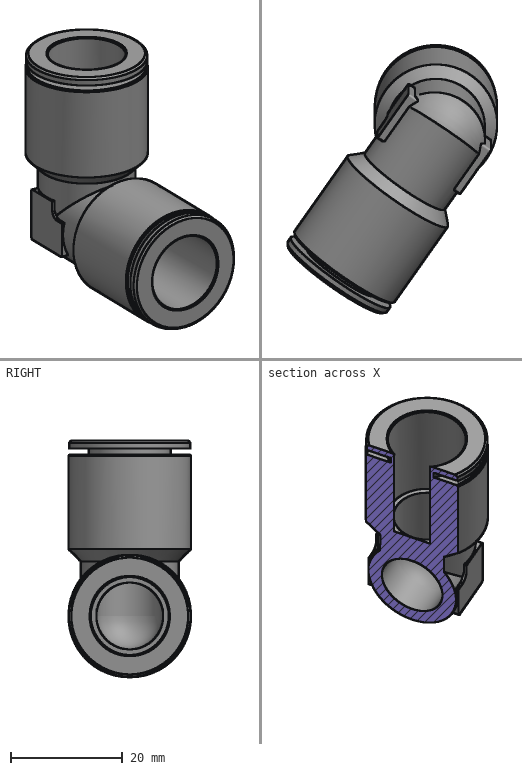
import cadquery as cq

overall_length = 42.5
body_diameter = 22.0
body_radius = body_diameter / 2
reach = overall_length - body_radius

elbow_radius = 17.6 / 2
cone_start = 9.78
cone_end = cone_start + body_radius - elbow_radius
body_end = 29.0
body_chamfer = 0.25
neck_radius = 14.8 / 2
flange_radius = 21.8 / 2
flange_thickness = 1.5
flange_chamfer = 0.42
flange_start = reach - flange_thickness

socket_radius = 14.0 / 2
socket_chamfer = 0.2
socket_floor = cone_end
passage_radius = 12.0 / 2

bend_center = 0.75
bend_radius = 1.7

pad_half_thickness = 9.0
pad_min = -4.4
pad_max = 5.45
pad_notch = 2.25
pad_notch_radius = 1.57
pad_corner_radius = 0.42


def both_legs(leg):
    """Join a vertical leg with its copy turned onto the X axis."""
    return leg.union(leg.rotate((0, 0, 0), (0, 1, 0), 90))


def revolved_leg(profile):
    """Revolve a (radius, height) outline about Z."""
    return cq.Workplane("XZ").polyline(profile).close().revolve(360, (0, 0), (0, 1))


def outer_leg():
    return revolved_leg([
        (0, 0),
        (elbow_radius, 0),
        (elbow_radius, cone_start),
        (body_radius, cone_end),
        (body_radius, body_end - body_chamfer),
        (body_radius - body_chamfer, body_end),
        (neck_radius, body_end),
        (neck_radius, flange_start),
        (flange_radius, flange_start),
        (flange_radius, reach - flange_chamfer),
        (flange_radius - flange_chamfer, reach),
        (0, reach),
    ])


def bore_leg():
    return revolved_leg([
        (0, 0),
        (passage_radius, 0),
        (passage_radius, socket_floor),
        (socket_radius, socket_floor),
        (socket_radius, reach - socket_chamfer),
        (socket_radius + socket_chamfer, reach),
        (0, reach),
    ])


def mitre_corner():
    """Region shared by the two elbow cylinders where they run past each other."""
    below = cq.Workplane("XY").circle(elbow_radius).extrude(-elbow_radius)
    behind = cq.Workplane("YZ").circle(elbow_radius).extrude(-elbow_radius)
    return below.intersect(behind)


def corner_waste():
    """Material of the sharp mitre that lies outside the bent tube."""
    pole = (elbow_radius**2 - bend_radius**2) ** 0.5
    bent_tube = (
        cq.Workplane("XY")
        .moveTo(0, -pole)
        .threePointArc((bend_radius + elbow_radius, 0), (0, pole))
        .close()
        .revolve(360, (0, 0), (0, 1))
        .translate((bend_center, 0, bend_center))
    )
    block = cq.Workplane("XY").box(
        body_diameter, body_diameter, body_diameter
    ).translate((-body_radius, 0, -body_radius))
    return block.cut(bent_tube)


def side_pads():
    """One L-shaped plate through the elbow; its two faces form the pads."""
    plate = (
        cq.Workplane("XZ")
        .polyline([
            (pad_min, pad_min),
            (pad_max, pad_min),
            (pad_max, pad_notch),
            (pad_notch, pad_notch),
            (pad_notch, pad_max),
            (pad_min, pad_max),
        ])
        .close()
        .extrude(pad_half_thickness, both=True)
    )
    notch_edge = cq.selectors.NearestToPointSelector((pad_notch, 0, pad_notch))
    plate = plate.edges("|Y").edges(notch_edge).fillet(pad_notch_radius)
    for x, z in [(pad_min, pad_min), (pad_max, pad_min), (pad_min, pad_max)]:
        corner_edge = cq.selectors.NearestToPointSelector((x, 0, z))
        plate = plate.edges("|Y").edges(corner_edge).fillet(pad_corner_radius)
    return plate


elbow = both_legs(outer_leg()).union(mitre_corner()).cut(corner_waste())
passage = both_legs(bore_leg()).union(cq.Workplane("XY").sphere(passage_radius))
result = elbow.union(side_pads()).cut(passage)